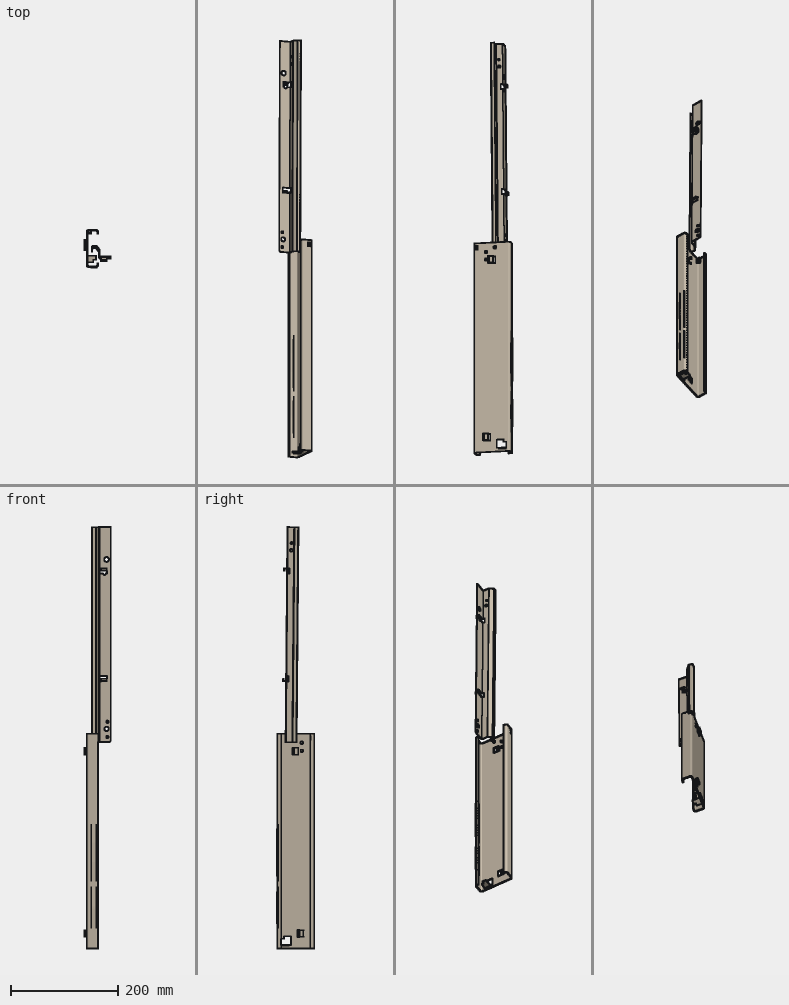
import cadquery as cq
import math

ARC_INSET = 1 - math.sqrt(0.5)

profile_length = 400.0
overall_height = 785.0
overall_width = 71.0

channel_sheet = 2.0
channel_depth = 21.0
channel_back = overall_width / 2
channel_bend = 4.0
lip_length = 7.45

pad_height = 1.2
pad_left = 9.0
pad_right = 19.0
channel_front = pad_height - overall_width / 2
pad_stations = [(38.5, 74.5, 78.5, 115.0), (126.0, 162.0, 198.0, 231.0)]

channel_hook_places = [(1.0, 367.0), (10.0, 28.0)]
channel_hook_size = 12.5
channel_hook_reach = 5.0
channel_hook_width = 9.5

web_hole_diameter = 5.0
web_hole_places = [(-5.0, 391.0), (12.0, 383.0)]
dimple_depth = 1.0
dimple_y = 12.0
dimple_z = 368.0

lug_reach_x = 9.0
lug_reach_y = 7.0
lug_height = 7.0
lug_top = 396.0

window_back = -9.0
window_middle = -21.0
window_front = -27.0
window_bottom = 7.0
window_step = 18.0
window_top = 23.0
shelf_thickness = 2.0
shelf_back = -12.5
shelf_middle = -20.5
shelf_front = -25.0
shelf_long_reach = 17.0
shelf_short_reach = 12.5

rail_sheet = 1.2
rail_left = 9.5
rail_back = 5.9
rail_lip_end = -1.5
bevel_start = 18.0
bevel_bottom = -1.5
rail_web = 23.0
wing_back = -14.0
wing_front = wing_back - rail_sheet
wing_right = 45.0
rail_bend = 3.5
rail_lip_bend = 3.0
wing_corner = 2.0
rail_tilt = 0.5

wing_holes = [
    (37.0, 724.5, 9.0),
    (38.5, 422.0, 4.0),
    (37.0, 409.0, 8.0),
    (38.5, 394.0, 4.0),
]

slot_right = 38.0
slot_depth_y = 5.0
slot_height = 9.5
upper_slot_z = 703.0
lower_slot_z = 502.5
rail_hook_reach = 5.5
rail_hook_height = 5.0
upper_notch_x = 33.0
upper_notch_diameter = 5.5

pilot_holes = [(-7.0, 755.0, 3.0), (-8.0, 742.0, 5.0)]


def block(x_range, y_range, z_range):
    """Box between the given limits."""
    (x0, x1), (y0, y1), (z0, z1) = x_range, y_range, z_range
    return cq.Workplane("XY").box(x1 - x0, y1 - y0, z1 - z0, centered=False).translate((x0, y0, z0))


def pad_solid(stations):
    """Ramped pad rising from the outer face of the front flange."""
    foot_low, crest_low, crest_high, foot_high = stations
    crest_y = channel_front - pad_height
    outline = [
        (channel_front, foot_low),
        (crest_y, crest_low),
        (crest_y, crest_high),
        (channel_front, foot_high),
    ]
    profile = cq.Workplane("YZ").workplane(offset=pad_left).polyline(outline).close()
    return profile.extrude(pad_right - pad_left)


def channel_section():
    """C-section with rounded bends and inward lips."""
    outer = block((0, channel_depth), (channel_front, channel_back), (0, profile_length))
    outer = outer.edges("|Z").fillet(channel_bend)
    inner = block(
        (channel_sheet, channel_depth - channel_sheet),
        (channel_front + channel_sheet, channel_back - channel_sheet),
        (0, profile_length),
    )
    inner = inner.edges("|Z").fillet(channel_bend - channel_sheet)
    mouth = block(
        (channel_depth / 2, channel_depth),
        (channel_front + lip_length, channel_back - lip_length),
        (0, profile_length),
    )
    return outer.cut(inner).cut(mouth)


def add_pads(body):
    for stations in pad_stations:
        pad = pad_solid(stations)
        hollow = pad.translate((0, channel_sheet, 0))
        body = body.union(pad).cut(hollow)
    return body


def add_channel_hook(body, y, z):
    """Window in the web with an L-shaped hook standing off its back edge."""
    half = channel_hook_size / 2
    z_range = (z - half, z + half)
    back = y + half
    window = block((0, channel_sheet), (y - half, back), z_range)
    foot = block((-channel_hook_reach, channel_sheet), (back - channel_sheet, back), z_range)
    plate = block(
        (-channel_hook_reach, channel_sheet - channel_hook_reach),
        (back - channel_hook_width, back),
        z_range,
    )
    return body.cut(window).union(foot).union(plate)


def add_web_holes(body):
    for y, z in web_hole_places:
        hole = cq.Workplane("YZ").center(y, z).circle(web_hole_diameter / 2).extrude(channel_sheet)
        body = body.cut(hole)
    dimple = cq.Workplane("YZ").center(dimple_y, dimple_z).circle(web_hole_diameter / 2)
    return body.cut(dimple.extrude(dimple_depth))


def add_corner_lug(body):
    """Lug pressed inwards at the back bend, leaving a recess on its outside."""
    z_range = (lug_top - lug_height, lug_top)
    lug = block(
        (channel_sheet / 2, lug_reach_x),
        (channel_back - lug_reach_y, channel_back - channel_sheet / 2),
        z_range,
    )
    recess = block(
        (0, lug_reach_x - channel_sheet),
        (channel_back - lug_reach_y + channel_sheet, channel_back),
        z_range,
    )
    return body.union(lug).cut(recess)


def add_window_and_shelf(body):
    """Stepped window with a shelf bent inwards from its lower edge."""
    lower = block((0, channel_sheet), (window_front, window_back), (window_bottom, window_step))
    upper = block((0, channel_sheet), (window_middle, window_back), (window_step, window_top))
    shelf_z = (window_bottom - shelf_thickness, window_bottom)
    long_shelf = block((0, shelf_long_reach), (shelf_middle, shelf_back), shelf_z)
    short_shelf = block((0, shelf_short_reach), (shelf_front, shelf_middle), shelf_z)
    return body.cut(lower).cut(upper).union(long_shelf).union(short_shelf)


def make_channel():
    body = add_pads(channel_section())
    for y, z in channel_hook_places:
        body = add_channel_hook(body, y, z)
    body = add_web_holes(body)
    body = add_corner_lug(body)
    return add_window_and_shelf(body)


def rail_section():
    """Lip, back flange, bevel, web and wing bent from one sheet."""
    bend_side = rail_bend * ARC_INSET
    lip_side = rail_lip_bend * ARC_INSET
    lip_inside = rail_lip_bend - rail_sheet
    lip_inset = rail_sheet + lip_inside * ARC_INSET
    profile = (
        cq.Workplane("XY")
        .workplane(offset=overall_height - profile_length)
        .moveTo(rail_left, rail_lip_end)
        .lineTo(rail_left, rail_back - rail_lip_bend)
        .threePointArc(
            (rail_left + lip_side, rail_back - lip_side),
            (rail_left + rail_lip_bend, rail_back),
        )
        .lineTo(bevel_start, rail_back)
        .lineTo(rail_web + rail_sheet, bevel_bottom)
        .lineTo(rail_web + rail_sheet, wing_back)
        .lineTo(wing_right, wing_back)
        .lineTo(wing_right, wing_front)
        .lineTo(rail_web + rail_bend, wing_front)
        .threePointArc(
            (rail_web + bend_side, wing_front + bend_side),
            (rail_web, wing_front + rail_bend),
        )
        .lineTo(rail_web, bevel_bottom - rail_sheet)
        .lineTo(bevel_start - rail_sheet, rail_back - rail_sheet)
        .lineTo(rail_left + rail_lip_bend, rail_back - rail_sheet)
        .threePointArc(
            (rail_left + lip_inset, rail_back - lip_inset),
            (rail_left + rail_sheet, rail_back - rail_lip_bend),
        )
        .lineTo(rail_left + rail_sheet, rail_lip_end)
        .close()
    )
    body = profile.extrude(profile_length)
    return body.edges("|Y and >X and <Z").chamfer(wing_corner)


def wing_drill(x, z, diameter):
    """Cylinder through the thickness of the wing."""
    circle = cq.Workplane("XZ", origin=(x, wing_back, z)).circle(diameter / 2)
    return circle.extrude(rail_sheet)


def add_rail_hook(body, slot_z, foot_side):
    """Slot across the bend and wing; foot_side is 1 for a foot on its upper edge, -1 for the lower."""
    half = slot_height / 2
    slot = block(
        (rail_web, slot_right),
        (wing_front, wing_front + slot_depth_y),
        (slot_z - half, slot_z + half),
    )
    edge = slot_z + foot_side * half
    x_range = (rail_web + rail_bend, slot_right)
    tip_y = wing_front - rail_hook_reach
    foot = block(
        x_range,
        (tip_y, wing_back),
        sorted((edge, edge - foot_side * rail_sheet)),
    )
    plate = block(
        x_range,
        (tip_y, tip_y + rail_sheet),
        sorted((edge, edge - foot_side * rail_hook_height)),
    )
    return body.cut(slot).union(foot).union(plate)


def make_rail():
    body = rail_section()
    for x, z, diameter in wing_holes:
        body = body.cut(wing_drill(x, z, diameter))
    body = add_rail_hook(body, upper_slot_z, 1)
    body = add_rail_hook(body, lower_slot_z, -1)
    body = body.cut(wing_drill(upper_notch_x, upper_slot_z - slot_height / 2, upper_notch_diameter))
    for y, z, diameter in pilot_holes:
        pilot = cq.Workplane("YZ", origin=(rail_web, y, z)).circle(diameter / 2)
        body = body.cut(pilot.extrude(rail_sheet))
    return body.rotate((0, wing_front, overall_height), (1, wing_front, overall_height), -rail_tilt)


channel = make_channel()
rail = make_rail()
result = cq.Compound.makeCompound([channel.solids().val(), rail.solids().val()])